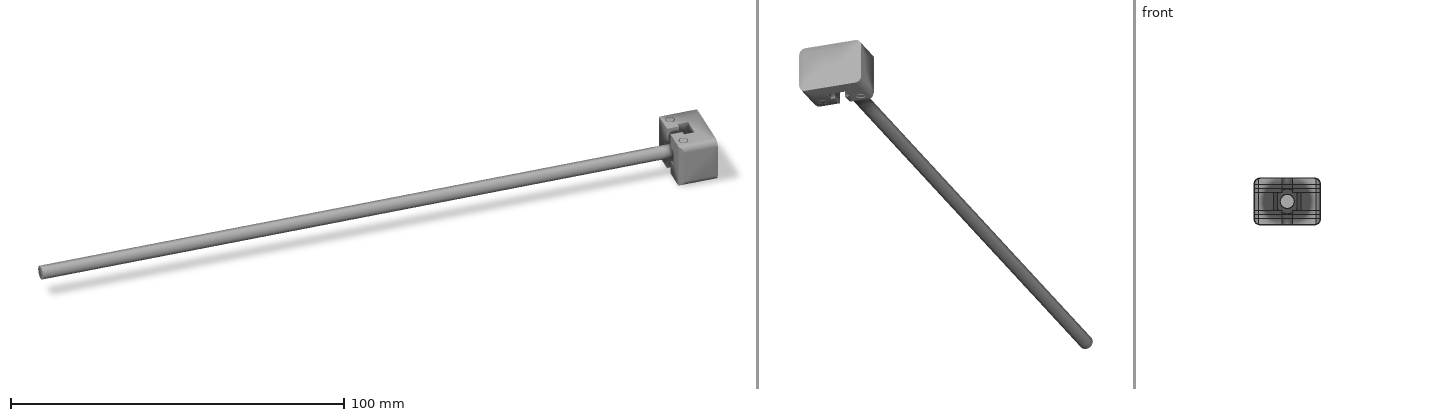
import cadquery as cq

total_length = 212.0
block_width = 20.0
block_depth = 12.0
corner_chamfer = 1.3

middle_thickness = 5.3
inner_thickness = 1.23
cover_thickness = 1.93
block_height = middle_thickness + 4 * inner_thickness + 2 * cover_thickness
edge_radius = cover_thickness

rod_radius = 2.1
head_diameter = 7.5
head_radius = head_diameter / 2
head_thickness = 3.0
head_front = 3.8

slot_width = 3.2
window_depth = 3.4
window_width = 6.0
channel_width = 5.7
mouth_width = 8.3
mouth_depth = 1.3

pin_radius = 1.17
pin_hole_radius = 1.45
pin_spacing = 12.0
pin_setback = 2.5

front_y = -block_depth
head_front_y = front_y + head_front
head_back_y = head_front_y + head_thickness
window_back_y = head_front_y + window_depth
pin_positions = (-pin_spacing / 2, pin_spacing / 2)
half_middle = middle_thickness / 2
upper_levels = [
    half_middle,
    half_middle + inner_thickness,
    half_middle + 2 * inner_thickness,
    block_height / 2,
]
plate_levels = [-z for z in reversed(upper_levels)] + upper_levels


def box_between(x_size, y_min, y_max, z_min, z_max):
    """Box centred on x = 0 that spans the given y and z ranges."""
    return (
        cq.Workplane("XY", origin=(0, 0, z_min))
        .center(0, (y_min + y_max) / 2)
        .rect(x_size, y_max - y_min)
        .extrude(z_max - z_min)
    )


def make_block():
    """Outer shape of the whole stack, with pin holes."""
    half_height = block_height / 2
    block = (
        box_between(block_width, front_y, 0, -half_height, half_height)
        .edges("|Y").fillet(edge_radius)
    )
    bevelled = (
        box_between(block_width, front_y, 0, -half_height, half_height)
        .edges("|Z and <Y").chamfer(corner_chamfer)
    )
    block = block.intersect(bevelled)
    for x in pin_positions:
        block = block.cut(upright_cylinder(x, pin_hole_radius))
    return block


def upright_cylinder(x, radius):
    """Cylinder through the full height of the stack, at a pin position."""
    return (
        cq.Workplane("XY", origin=(x, front_y + pin_setback, -block_height / 2))
        .circle(radius)
        .extrude(block_height)
    )


def make_rod():
    """Round rod ending in a wider round head."""
    return (
        cq.Workplane("YZ")
        .polyline([
            (-total_length, 0),
            (-total_length, rod_radius),
            (head_front_y, rod_radius),
            (head_front_y, head_radius),
            (head_back_y, head_radius),
            (head_back_y, 0),
        ])
        .close()
        .revolve(360, (0, 0, 0), (1, 0, 0))
    )


def make_slit_plate(block, z_min, z_max):
    """Plate above or below the middle one: a slit that leads to a window over the head."""
    layer = box_between(block_width, front_y, 0, z_min, z_max)
    slit = box_between(slot_width, front_y, window_back_y, z_min, z_max)
    window = box_between(window_width, head_front_y, window_back_y, z_min, z_max)
    return block.intersect(layer).cut(slit).cut(window)


def make_middle_plate(block, z_min, z_max):
    """Thick plate with a channel for the rod, a flared mouth and a pocket for the head."""
    layer = box_between(block_width, front_y, 0, z_min, z_max)
    channel = box_between(channel_width, front_y, window_back_y, z_min, z_max)
    pocket = box_between(2 * head_radius, head_front_y, window_back_y, z_min, z_max)
    mouth = (
        cq.Workplane("XY", origin=(0, 0, z_min))
        .polyline([
            (-mouth_width / 2, front_y),
            (mouth_width / 2, front_y),
            (channel_width / 2, front_y + mouth_depth),
            (-channel_width / 2, front_y + mouth_depth),
        ])
        .close()
        .extrude(z_max - z_min)
    )
    return block.intersect(layer).cut(channel).cut(pocket).cut(mouth)


block = make_block()
plates = []
for z_min, z_max in zip(plate_levels, plate_levels[1:]):
    is_middle = z_min < 0 < z_max
    make_plate = make_middle_plate if is_middle else make_slit_plate
    plates.append(make_plate(block, z_min, z_max).val())

pins = []
for x in pin_positions:
    pins.append(upright_cylinder(x, pin_radius).val())

rod = make_rod()

result = cq.Compound.makeCompound([*plates, *pins, rod.val()])